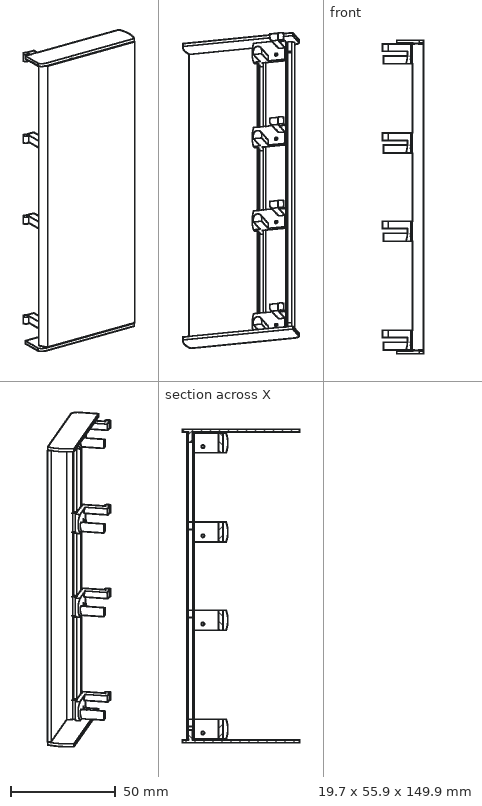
import cadquery as cq
import math

TOTAL_HEIGHT = 149.9

CAP_WIDTH = 12.9
CAP_LENGTH = 55.9
CAP_THICKNESS = 1.5
CAP_CROWN = 1.2
CAP_CORNER_X = 2.0
CAP_CORNER_Y = 3.5
CAP_CORNER_RADIUS = (CAP_CORNER_X**2 + CAP_CORNER_Y**2) / (2 * CAP_CORNER_X)
CAP_GAP = 0.3
PEG_INSERTION = 4.5

PANEL_BOTTOM = CAP_THICKNESS + CAP_GAP
PANEL_HEIGHT = TOTAL_HEIGHT - 2 * PANEL_BOTTOM
PANEL_REAR = 55.0
WALL = 1.8
PAD = 3.6
FRONT_SLOPE = 39.0

BORE_DIAMETER = 2.7
SLOT_WIDTH = 2.2
PEG_TUBE_X = -PAD
PEG_TUBE_Y = 3.9
PEG_TUBE_RADIUS = 2.1
CLIP_TUBE_RADIUS = 2.5
CLIP_TUBE_X = -2.2
CLIP_TUBE_Y = 18.3

HOOK_HEIGHT = 9.6
HOOK_FRONT = 5.4
PLATE_REAR = 20.8
PLATE_BULGE = 0.9
PLATE_BACK = 6.1
PLATE_FACE = 8.4
FACE_HOLLOW = 0.7
ARM_REACH = 19.2
ARM_WIDTH = 4.0
ARM_HEIGHT = 3.6
ARM_ROUNDING = 1.6
TIP_DIAMETER = 2.7
TIP_X = -18.3
TIP_Y = 4.2
STUD_WIDTH = 4.0
STUD_HEIGHT = 3.9
STUD_Y = 15.6
HOLE_DIAMETER = 1.4
HOLE_Y = 9.7
HOLE_BELOW_TOP = 6.6

HOOK_DROPS = [0.0, 42.5, 84.7, PANEL_HEIGHT - HOOK_HEIGHT]


def post(x, y, radius, bottom, height):
    """Upright round bar."""
    return cq.Workplane("XY", origin=(x, y, bottom)).circle(radius).extrude(height)


def box(x_range, y_range, z_range):
    """Axis-aligned block between pairs of limits."""
    (x0, x1), (y0, y1), (z0, z1) = x_range, y_range, z_range
    return cq.Workplane("XY").box(x1 - x0, y1 - y0, z1 - z0, centered=False).translate((x0, y0, z0))


def channel(x, y, bottom, height):
    """Round bore with a narrower slot that runs from it as far as the hook plates."""
    slot = box(
        (-PLATE_BACK, x), (y - SLOT_WIDTH / 2, y + SLOT_WIDTH / 2), (bottom, bottom + height)
    )
    return post(x, y, BORE_DIAMETER / 2, bottom, height).union(slot)


def make_panel():
    """Stepped panel with two slotted tubes; the sloping front face is tangent to the front tube."""
    slope = math.radians(FRONT_SLOPE)
    tangent_x = PEG_TUBE_X + PEG_TUBE_RADIUS * math.sin(slope)
    tangent_y = PEG_TUBE_Y - PEG_TUBE_RADIUS * math.cos(slope)
    body = (
        cq.Workplane("XY", origin=(0, 0, PANEL_BOTTOM))
        .moveTo(tangent_x, tangent_y)
        .lineTo(0, tangent_y - tangent_x * math.tan(slope))
        .lineTo(0, PANEL_REAR)
        .lineTo(-WALL, PANEL_REAR)
        .lineTo(-WALL, CLIP_TUBE_Y)
        .lineTo(-PAD, CLIP_TUBE_Y)
        .lineTo(PEG_TUBE_X, PEG_TUBE_Y)
        .close()
        .extrude(PANEL_HEIGHT)
    )
    peg_tube = post(PEG_TUBE_X, PEG_TUBE_Y, PEG_TUBE_RADIUS, PANEL_BOTTOM, PANEL_HEIGHT)
    clip_tube = post(CLIP_TUBE_X, CLIP_TUBE_Y, CLIP_TUBE_RADIUS, PANEL_BOTTOM, PANEL_HEIGHT)
    outside = box((0, CLIP_TUBE_RADIUS), (0, PANEL_REAR), (0, TOTAL_HEIGHT))
    return (
        body.union(peg_tube)
        .union(clip_tube)
        .cut(outside)
        .cut(channel(PEG_TUBE_X, PEG_TUBE_Y, PANEL_BOTTOM, PANEL_HEIGHT))
        .cut(channel(CLIP_TUBE_X, CLIP_TUBE_Y, PANEL_BOTTOM, PANEL_HEIGHT))
    )


def make_cap(bottom, peg_bottom):
    """Cap plate with the peg that enters the front tube of the panel."""
    shoulder_y = CAP_LENGTH - CAP_CROWN
    corner_angle = math.asin(CAP_CORNER_Y / CAP_CORNER_RADIUS) / 2
    corner_mid = (
        CAP_CORNER_RADIUS * (math.cos(corner_angle) - 1),
        CAP_CORNER_Y - CAP_CORNER_RADIUS * math.sin(corner_angle),
    )
    plate = (
        cq.Workplane("XY", origin=(0, 0, bottom))
        .moveTo(-CAP_WIDTH, 0)
        .lineTo(-CAP_CORNER_X, 0)
        .threePointArc(corner_mid, (0, CAP_CORNER_Y))
        .lineTo(0, shoulder_y)
        .threePointArc((-CAP_WIDTH / 2, CAP_LENGTH), (-CAP_WIDTH, shoulder_y))
        .close()
        .extrude(CAP_THICKNESS)
    )
    peg_height = PEG_INSERTION + CAP_GAP
    return plate.union(post(PEG_TUBE_X, PEG_TUBE_Y, BORE_DIAMETER / 2, peg_bottom, peg_height))


def make_plate():
    """Hook plate with a bowed rear edge and a hollow face, top at Z = 0."""
    outline = (
        cq.Workplane("YZ", origin=(-PLATE_FACE, 0, 0))
        .moveTo(HOOK_FRONT, 0)
        .lineTo(PLATE_REAR, 0)
        .threePointArc((PLATE_REAR + PLATE_BULGE, -HOOK_HEIGHT / 2), (PLATE_REAR, -HOOK_HEIGHT))
        .lineTo(HOOK_FRONT, -HOOK_HEIGHT)
        .close()
        .extrude(PLATE_FACE - PLATE_BACK)
    )
    hollow = (
        cq.Workplane("XZ")
        .moveTo(-PLATE_FACE, 0)
        .threePointArc((FACE_HOLLOW - PLATE_FACE, -HOOK_HEIGHT / 2), (-PLATE_FACE, -HOOK_HEIGHT))
        .close()
        .extrude(-CAP_LENGTH)
    )
    hole = (
        cq.Workplane("YZ", origin=(-PLATE_FACE, HOLE_Y, -HOLE_BELOW_TOP))
        .circle(HOLE_DIAMETER / 2)
        .extrude(PLATE_FACE - PLATE_BACK)
    )
    return outline.cut(hollow).cut(hole)


def make_arm():
    """Upper arm with a rounded lower edge and a round pivot at its tip."""
    arm = box(
        (-ARM_REACH, -PLATE_BACK), (HOOK_FRONT, HOOK_FRONT + ARM_WIDTH), (-ARM_HEIGHT, 0)
    )
    arm = arm.edges("|X and >Y and <Z").fillet(ARM_ROUNDING)
    tip = post(TIP_X, TIP_Y, TIP_DIAMETER / 2, -ARM_HEIGHT, ARM_HEIGHT)
    return arm.union(tip)


def make_stud():
    """Lower stud with a half-round top and a flat base."""
    radius = STUD_WIDTH / 2
    return (
        cq.Workplane("YZ", origin=(-ARM_REACH, STUD_Y, -HOOK_HEIGHT))
        .moveTo(-radius, 0)
        .lineTo(radius, 0)
        .lineTo(radius, STUD_HEIGHT - radius)
        .threePointArc((0, STUD_HEIGHT), (-radius, STUD_HEIGHT - radius))
        .close()
        .extrude(ARM_REACH - PLATE_BACK)
    )


def make_hook(top):
    """Hook whose tongue fills the clip tube behind the plate."""
    tongue = channel(CLIP_TUBE_X, CLIP_TUBE_Y, -HOOK_HEIGHT, HOOK_HEIGHT)
    hook = make_plate().union(make_arm()).union(make_stud()).union(tongue)
    return hook.translate((0, 0, top))


panel_top = PANEL_BOTTOM + PANEL_HEIGHT
panel = make_panel()
bottom_cap = make_cap(0, CAP_THICKNESS)
top_cap = make_cap(TOTAL_HEIGHT - CAP_THICKNESS, panel_top - PEG_INSERTION)
hooks = [make_hook(panel_top - drop) for drop in HOOK_DROPS]

result = cq.Compound.makeCompound(
    [panel.val(), bottom_cap.val(), top_cap.val(), *[hook.val() for hook in hooks]]
)